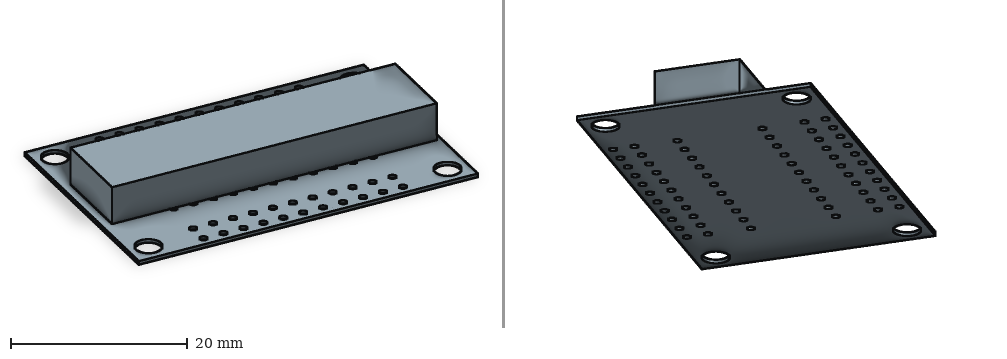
import cadquery as cq

board_length = 43.2
pitches_along_board = 17
pitches_across_board = 11
pitch = board_length / pitches_along_board
board_width = pitches_across_board * pitch
board_thickness = 0.47

mount_hole_diameter = 3.2
mount_spacing_x = board_width - 2 * pitch
mount_spacing_y = board_length - 2 * pitch

pin_hole_diameter = 0.9
rows = 11
outer_column_steps = (4, 5)
inner_column_steps = 2
outer_columns = [side * steps * pitch for side in (-1, 1) for steps in outer_column_steps]
inner_columns = [side * inner_column_steps * pitch for side in (-1, 1)]
inner_row_shift = 0.15

overall_height = 5.25
block_width = 2 * inner_column_steps * pitch
block_length = 41.35
block_height = overall_height - board_thickness
block_shift_y = 0.3


def pin_hole_points(columns, shift_y):
    """Centres of the pin holes in the given columns, rows centred on shift_y."""
    first_row = shift_y - (rows - 1) / 2 * pitch
    return [(x, first_row + row * pitch) for x in columns for row in range(rows)]


def make_board():
    """Flat board with corner mounting holes and columns of pin holes."""
    pin_holes = pin_hole_points(outer_columns, 0) + pin_hole_points(inner_columns, inner_row_shift)
    return (
        cq.Workplane("XY")
        .box(board_width, board_length, board_thickness, centered=(True, True, False))
        .faces(">Z")
        .workplane(origin=(0, 0, 0))
        .rarray(mount_spacing_x, mount_spacing_y, 2, 2)
        .hole(mount_hole_diameter)
        .faces(">Z")
        .workplane(origin=(0, 0, 0))
        .pushPoints(pin_holes)
        .hole(pin_hole_diameter)
    )


def make_block():
    """Plain rectangular block resting on the board's top face."""
    return (
        cq.Workplane("XY")
        .box(block_width, block_length, block_height, centered=(True, True, False))
        .translate((0, block_shift_y, board_thickness))
    )


board = make_board()
block = make_block()
result = cq.Compound.makeCompound([board.val(), block.val()])